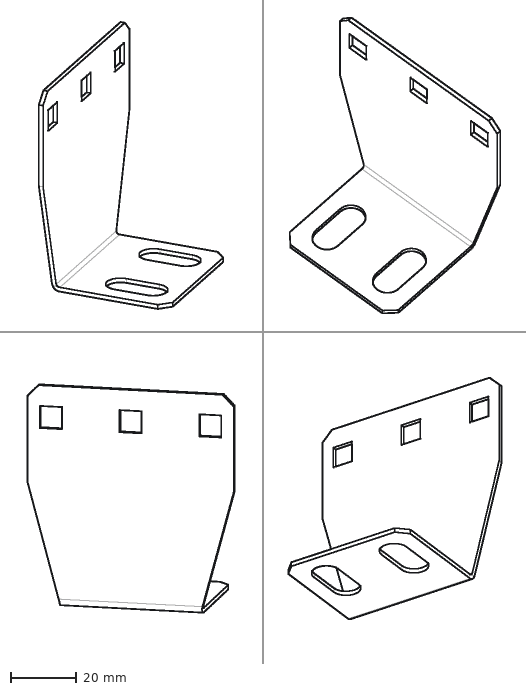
import cadquery as cq

height = 69.4
plate_width = 65.0
foot_length = 39.0

thickness = 1.45
inner_radius = 1.05
outer_radius = inner_radius + thickness
corner_chamfer = 3.5

foot_width = 45.0
taper_top_z = height - 30.55
taper_run_into_bend = 0.8

slot_pitch = 25.0
square_pitch = 25.1
square_side = 6.95
square_z = height - 10.0
slot_length = 20.0
slot_width = 9.0
slot_x = 24.0


def bent_sheet():
    """L-shaped sheet profile with a rounded bend, centred on Y = 0."""
    profile = (
        cq.Workplane("XZ")
        .moveTo(0, height)
        .lineTo(0, outer_radius)
        .radiusArc((outer_radius, 0), -outer_radius)
        .lineTo(foot_length, 0)
        .lineTo(foot_length, thickness)
        .lineTo(outer_radius, thickness)
        .radiusArc((thickness, outer_radius), inner_radius)
        .lineTo(thickness, height)
        .close()
    )
    return profile.extrude(plate_width / 2, both=True)


def upright_outline():
    """Prism through X: chamfered top, straight sides, then a taper ending within the bend."""
    half = plate_width / 2
    right_side = [
        (foot_width / 2, 0),
        (foot_width / 2, outer_radius - taper_run_into_bend),
        (half, taper_top_z),
        (half, height - corner_chamfer),
        (half - corner_chamfer, height),
    ]
    left_side = [(-y, z) for y, z in reversed(right_side)]
    return cq.Workplane("YZ").polyline(right_side + left_side).close().extrude(foot_length)


def square_holes():
    centres = [(y, square_z) for y in (-square_pitch, 0, square_pitch)]
    return cq.Workplane("YZ").pushPoints(centres).rect(square_side, square_side).extrude(thickness)


def foot_slots():
    centres = [(slot_x, y) for y in (-slot_pitch / 2, slot_pitch / 2)]
    return cq.Workplane("XY").pushPoints(centres).slot2D(slot_length, slot_width).extrude(thickness)


bracket = bent_sheet().intersect(upright_outline())
bracket = bracket.edges("|Z and >X").chamfer(corner_chamfer)
result = bracket.cut(square_holes()).cut(foot_slots())